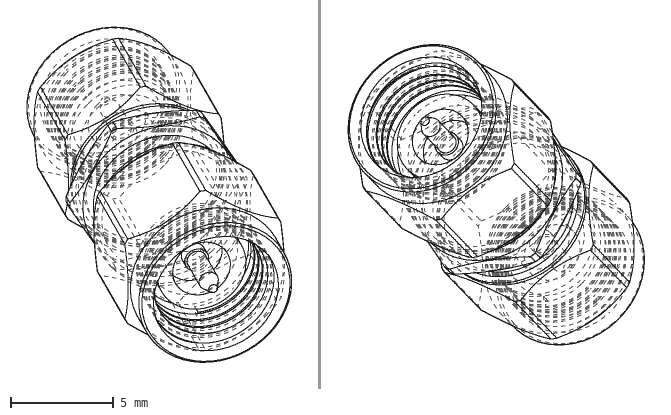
import cadquery as cq
import math

length = 20.32
across_flats = 7.92
corner_radius = 4.5
neck_radius = 3.4

collar_radius = 3.88
mouth_edge_chamfer = 0.12
front_cone_start = 1.63
front_cone_end = 2.34
rear_cone_start = 7.27
rear_cone_end = 7.99
nut_length = 8.47
nut_rear_chamfer = 0.25

mouth_radius = 3.17
mouth_depth = 0.77
lead_in_depth = 1.05
thread_minor_radius = 2.8
thread_root_radius = 3.15
thread_pitch = 0.71
thread_turns = 5
thread_start = -0.05
thread_overlap = 0.05
groove_root_width = 0.18
groove_flank_angle = 30.0
bore_depth = 4.06

tube_radius = 2.25
tube_bore_radius = 1.46
tube_face_depth = 2.58
pin_tip_depth = 0.5
pin_cone_end = 1.3
pin_tip_radius = 0.22
pin_radius = 0.49
pin_base_radius = 0.6
pin_base_depth = 3.45

hex_start = -1.15
hex_end = 0.16
hex_chamfer_length = 0.33
hex_face_radius = 3.92

open_face = -length / 2


def revolve_about_x(points):
    """Solid of revolution about X from (distance, radius) points."""
    return cq.Workplane("XZ").polyline(points).close().revolve(360, (0, 0, 0), (1, 0, 0))


def hex_bar(start, end, turn):
    """Hexagonal bar along X; turn = 0 puts two corners on the Y axis."""
    corner_diameter = across_flats / math.cos(math.radians(30))
    bar = cq.Workplane("YZ").workplane(offset=start).polygon(6, corner_diameter).extrude(end - start)
    return bar.rotate((0, 0, 0), (1, 0, 0), turn)


def nut_outside():
    """Round collar, chamfered hexagon and rear rim, with the open face at X = 0."""
    envelope = revolve_about_x([
        (front_cone_start, 0),
        (front_cone_start, collar_radius),
        (front_cone_end, corner_radius),
        (rear_cone_start, corner_radius),
        (rear_cone_end, collar_radius),
        (rear_cone_end, 0),
    ])
    hexagon = hex_bar(front_cone_start, rear_cone_end, 30).intersect(envelope)
    core = revolve_about_x([
        (0, 0),
        (0, collar_radius - mouth_edge_chamfer),
        (mouth_edge_chamfer, collar_radius),
        (nut_length - nut_rear_chamfer, collar_radius),
        (nut_length, collar_radius - nut_rear_chamfer),
        (nut_length, 0),
    ])
    return core.union(hexagon)


def thread_groove():
    """Right-handed helical groove that cuts into the wall of the nut bore."""
    inner_radius = thread_minor_radius - thread_overlap
    flank_run = (thread_root_radius - inner_radius) * math.tan(math.radians(groove_flank_angle))
    half_root = groove_root_width / 2
    half_mouth = half_root + flank_run
    helix = cq.Wire.makeHelix(thread_pitch, thread_pitch * thread_turns, thread_minor_radius)
    groove = (
        cq.Workplane("XZ")
        .polyline([
            (inner_radius, -half_mouth),
            (thread_root_radius, -half_root),
            (thread_root_radius, half_root),
            (inner_radius, half_mouth),
        ])
        .close()
        .sweep(cq.Workplane(helix), isFrenet=True)
    )
    return groove.rotate((0, 0, 0), (0, 1, 0), 90).translate((thread_start, 0, 0))


def tube_and_pin():
    """Hollow tube with a stepped, pointed contact pin standing in its bore."""
    return revolve_about_x([
        (pin_tip_depth, 0),
        (pin_tip_depth, pin_tip_radius),
        (pin_cone_end, pin_radius),
        (pin_base_depth, pin_radius),
        (pin_base_depth, pin_base_radius),
        (bore_depth, pin_base_radius),
        (bore_depth, tube_bore_radius),
        (tube_face_depth, tube_bore_radius),
        (tube_face_depth, tube_radius),
        (nut_length, tube_radius),
        (nut_length, 0),
    ])


def connector_end():
    """Complete male connector with its open face at X = 0, pointing to -X."""
    bore = revolve_about_x([
        (0, 0),
        (0, mouth_radius),
        (mouth_depth, mouth_radius),
        (lead_in_depth, thread_minor_radius),
        (bore_depth, thread_minor_radius),
        (bore_depth, 0),
    ])
    return nut_outside().cut(bore).cut(thread_groove()).union(tube_and_pin())


def neck_hexagon():
    """Fixed hexagon with both ends chamfered."""
    envelope = revolve_about_x([
        (hex_start, 0),
        (hex_start, hex_face_radius),
        (hex_start + hex_chamfer_length, corner_radius),
        (hex_end - hex_chamfer_length, corner_radius),
        (hex_end, hex_face_radius),
        (hex_end, 0),
    ])
    return hex_bar(hex_start, hex_end, 0).intersect(envelope)


left_end = connector_end().translate((open_face, 0, 0))
right_end = left_end.rotate((0, 0, 0), (0, 0, 1), 180)
neck_start = open_face + nut_length
neck = cq.Workplane("YZ").workplane(offset=neck_start).circle(neck_radius).extrude(-2 * neck_start)

result = neck.union(neck_hexagon()).union(left_end).union(right_end)